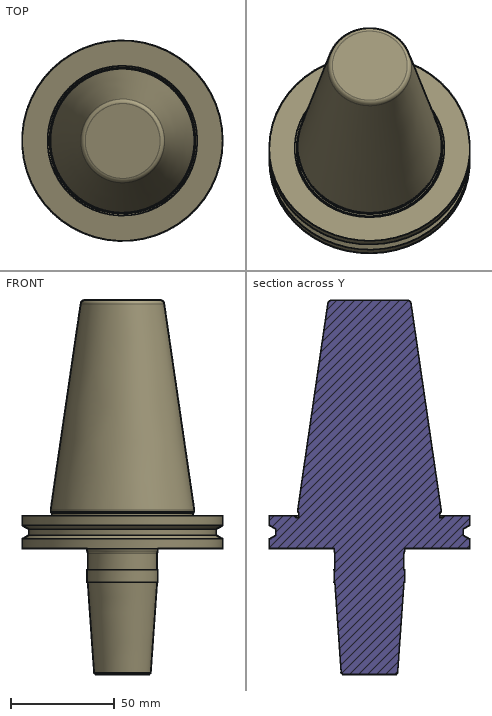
import cadquery as cq
import math

total_length = 181.8

gauge_radius = 34.9
taper_length = 101.8
diameter_taper = 7 / 24
end_fillet = 2.2
gauge_z = total_length - taper_length
taper_end_radius = gauge_radius - taper_length * diameter_taper / 2

gauge_land = 1.0
undercut_radius = 34.4
undercut_bevel = gauge_radius - undercut_radius
relief_depth = 0.9
relief_outer_radius = 36.4
relief_floor_radius = 35.5

flange_radius = 48.7
flange_bottom_z = 61.0
flange_top_z = 77.0
groove_depth = 3.0
groove_floor_radius = flange_radius - groove_depth
groove_bottom_z = 65.8
groove_top_z = 72.3
groove_side_height = groove_depth / math.sqrt(3)

collar_radius = 17.3
neck_radius = 16.9
root_step_height = 0.9
root_bevel_height = 1.3
root_step_z = flange_bottom_z - root_step_height
collar_top_z = 50.9
collar_bottom_z = 44.7
tip_radius = 13.8
tip_chamfer = 0.9


def nose_outline():
    """Radius and height points from the tip up to the flange."""
    return [
        (0, 0),
        (tip_radius - tip_chamfer, 0),
        (tip_radius, tip_chamfer),
        (neck_radius, collar_bottom_z),
        (collar_radius, collar_bottom_z),
        (collar_radius, collar_top_z),
        (neck_radius, collar_top_z),
        (neck_radius, root_step_z - root_bevel_height),
        (collar_radius, root_step_z),
        (collar_radius, flange_bottom_z),
    ]


def flange_outline():
    """Radius and height points up the rim and into the face relief."""
    return [
        (flange_radius, flange_bottom_z),
        (flange_radius, groove_bottom_z),
        (groove_floor_radius, groove_bottom_z + groove_side_height),
        (groove_floor_radius, groove_top_z - groove_side_height),
        (flange_radius, groove_top_z),
        (flange_radius, flange_top_z),
        (relief_outer_radius, flange_top_z),
        (relief_floor_radius, flange_top_z - relief_depth),
        (undercut_radius, flange_top_z - relief_depth),
    ]


def taper_outline():
    """Radius and height points from the undercut to the sharp taper end."""
    return [
        (undercut_radius, gauge_z - gauge_land - undercut_bevel),
        (gauge_radius, gauge_z - gauge_land),
        (gauge_radius, gauge_z),
        (taper_end_radius, total_length),
        (0, total_length),
    ]


outline = nose_outline() + flange_outline() + taper_outline()
body = cq.Workplane("XZ").polyline(outline).close().revolve(360, (0, 0, 0), (0, 1, 0))
result = body.faces(">Z").edges().fillet(end_fillet)